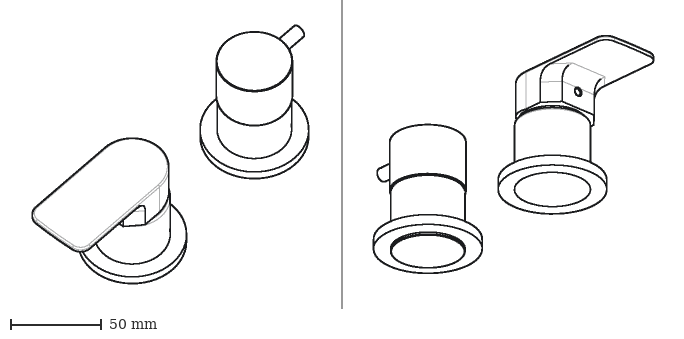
import cadquery as cq

axis_spacing = 99.8
total_height = 68.0

flange_diameter = 60.0
flange_bottom = 1.6
flange_thickness = 6.0
flange_top = flange_bottom + flange_thickness

diverter_sleeve_diameter = 41.0
diverter_sleeve_chamfer = 0.5
knob_diameter = 42.0
knob_height = 30.9
knob_chamfer = 0.5
knob_bottom = total_height - knob_height
pin_diameter = 8.0
pin_reach = 36.5
pin_insertion = 8.0
pin_drop = 7.5
pin_height = total_height - pin_drop
pin_length = pin_reach - knob_diameter / 2 + pin_insertion

mixer_sleeve_diameter = 41.9
mixer_sleeve_top = 42.0
mixer_sleeve_fillet = 1.2
neck_base_diameter = 37.0
neck_top_diameter = 35.5
neck_top = 48.1

lever_radius = 20.2
lever_bottom = 44.0
lever_back_bottom = 47.5
plate_reach = 64.1
plate_thickness = 3.0
plate_bottom = total_height - plate_thickness
plate_corner_radius = 7.0
plate_end_bulge = 0.8
plate_edge_fillet = 1.0
hub_front = 20.6
hub_side_length = 11.6
hub_front_width = 24.5
hub_curve = 8.2

screw_hole_diameter = 4.0
screw_hole_depth = 4.0
screw_hole_rim = 0.6
screw_hole_height = 54.3


def cylinder(diameter, bottom, top, center_y=0):
    """Upright cylinder between two heights."""
    return (
        cq.Workplane("XY", origin=(0, center_y, bottom))
        .circle(diameter / 2)
        .extrude(top - bottom)
    )


def make_flange(center_y, hole_diameter):
    """Round flange with a hole that fits the sleeve passing through it."""
    flange = cylinder(flange_diameter, flange_bottom, flange_top, center_y)
    return flange.cut(cylinder(hole_diameter, flange_bottom, flange_top, center_y))


def make_diverter_sleeve():
    sleeve = cylinder(diverter_sleeve_diameter, 0, knob_bottom, axis_spacing)
    return sleeve.faces("<Z or >Z").chamfer(diverter_sleeve_chamfer)


def make_pin():
    pin_end = axis_spacing + pin_reach
    return (
        cq.Workplane("XZ", origin=(0, pin_end, pin_height))
        .circle(pin_diameter / 2)
        .extrude(pin_length)
    )


def make_knob():
    knob = cylinder(knob_diameter, knob_bottom, total_height, axis_spacing)
    return knob.faces("<Z or >Z").chamfer(knob_chamfer).cut(make_pin())


def make_mixer_sleeve():
    sleeve = cylinder(mixer_sleeve_diameter, flange_bottom, mixer_sleeve_top)
    return sleeve.faces(">Z").edges().fillet(mixer_sleeve_fillet)


def make_neck():
    """Slightly tapered round neck that stands on the sleeve and enters the lever."""
    return (
        cq.Workplane("XY", origin=(0, 0, mixer_sleeve_top))
        .circle(neck_base_diameter / 2)
        .workplane(offset=neck_top - mixer_sleeve_top)
        .circle(neck_top_diameter / 2)
        .loft(combine=True)
    )


def make_lever_plate():
    """Flat handle with a round back, a slightly bowed front end and a rounded top edge."""
    corner_y = plate_end_bulge - plate_reach
    return (
        cq.Workplane("XY", origin=(0, 0, plate_bottom))
        .moveTo(lever_radius, 0)
        .threePointArc((0, lever_radius), (-lever_radius, 0))
        .lineTo(-lever_radius, corner_y)
        .threePointArc((0, -plate_reach), (lever_radius, corner_y))
        .close()
        .extrude(plate_thickness)
        .edges("|Z")
        .edges("<Y")
        .fillet(plate_corner_radius)
        .faces(">Z")
        .edges()
        .fillet(plate_edge_fillet)
    )


def make_hub_back():
    """Rear of the hub: a round back with two straight sides."""
    return (
        cq.Workplane("XY", origin=(0, 0, lever_bottom))
        .moveTo(lever_radius, 0)
        .threePointArc((0, lever_radius), (-lever_radius, 0))
        .lineTo(-lever_radius, -hub_side_length)
        .lineTo(lever_radius, -hub_side_length)
        .close()
        .extrude(plate_bottom - lever_bottom)
    )


def hub_front_prism(start_x, shift_x, shift_y):
    """Hub profile with a soft curve up to the plate, swept straight from start_x by the given shift."""
    curve_foot = (-hub_front, plate_bottom - hub_curve)
    curve_corner = (-hub_front, plate_bottom)
    curve_end = (-hub_front - hub_curve, plate_bottom)
    profile = (
        cq.Workplane("YZ", origin=(start_x, 0, 0))
        .moveTo(-hub_side_length, lever_bottom)
        .lineTo(-hub_front, lever_bottom)
        .lineTo(*curve_foot)
        .bezier([curve_foot, curve_corner, curve_end])
        .lineTo(-hub_side_length, plate_bottom)
        .close()
    )
    face = cq.Face.makeFromWires(profile.val())
    return cq.Workplane(cq.Solid.extrudeLinear(face, cq.Vector(shift_x, shift_y, 0)))


def make_hub_front():
    """Front of the hub: a flat middle between two bevelled sides."""
    half_width = hub_front_width / 2
    bevel_width = lever_radius - half_width
    bevel_setback = hub_front - hub_side_length
    front = hub_front_prism(-half_width, hub_front_width, 0)
    for side in (-1, 1):
        front = front.union(hub_front_prism(side * half_width, side * bevel_width, bevel_setback))
    return front


def make_tilt_clearance():
    """Wedge that slopes the underside of the hub up towards the back."""
    return (
        cq.Workplane("YZ")
        .moveTo(0, lever_bottom)
        .lineTo(lever_radius, lever_back_bottom)
        .lineTo(lever_radius, lever_bottom)
        .close()
        .extrude(lever_radius, both=True)
    )


def make_screw_hole():
    """Blind hole in the front of the hub with a countersunk rim."""
    return (
        cq.Workplane("XZ", origin=(0, -hub_front, screw_hole_height))
        .circle(screw_hole_diameter / 2)
        .extrude(-screw_hole_depth)
        .faces("<Y")
        .workplane()
        .circle(screw_hole_diameter / 2 + screw_hole_rim)
        .workplane(offset=-screw_hole_rim)
        .circle(screw_hole_diameter / 2)
        .loft(combine=True)
    )


def make_lever():
    lever = make_hub_back().union(make_hub_front()).union(make_lever_plate())
    return lever.cut(make_tilt_clearance()).cut(make_screw_hole()).cut(make_neck())


flange_places = [(axis_spacing, diverter_sleeve_diameter), (0, mixer_sleeve_diameter)]
flanges = [make_flange(center_y, hole_diameter) for center_y, hole_diameter in flange_places]

result = cq.Compound.makeCompound([
    *[flange.val() for flange in flanges],
    make_diverter_sleeve().val(),
    make_knob().val(),
    make_pin().val(),
    make_mixer_sleeve().val(),
    make_neck().val(),
    make_lever().val(),
])